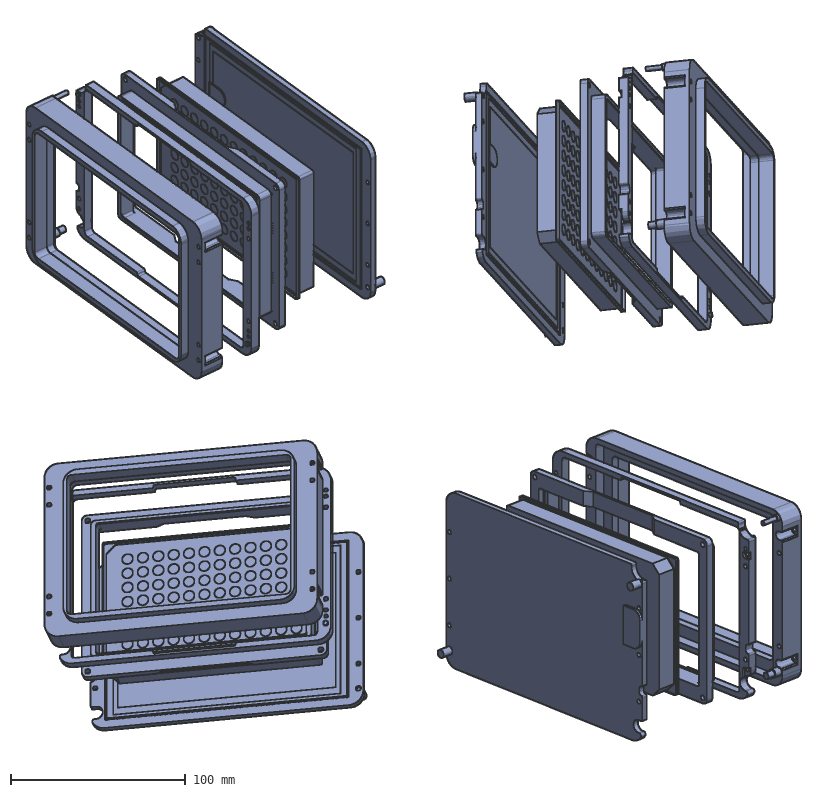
import cadquery as cq

plate_width = 159.7
plate_height = 109.7
plate_corner = 8.2
left_edge = -plate_width / 2
top_edge = plate_height / 2

stack_length = 140.39
housing_front = -stack_length / 2
housing_shoulder = -64.95
housing_back = -49.7
frame_front = -28.2
frame_back = -22.6
tray_front = -9.8
tray_shoulder = -1.4
tray_back = 3.1
skirt_front = 18.2
skirt_back = 20.2
block_back = 32.0
cover_front = 59.5
cover_back = 63.2
cover_peg_tip = stack_length / 2

fastener_x = 77.1
through_z = 29.1
screw_z = 40.0
relief_z = 36.1
peg_z = 44.8
fastener_diameter = 2.6
centre_hole_z = 0.0
peg_places = [(-fastener_x, peg_z), (fastener_x, -peg_z)]

lip_width = 135.4
lip_height = 94.8
front_opening_width = 131.2
front_opening_height = 88.4
rear_opening_width = 130.9
rear_opening_height = 88.1
opening_corner = 3.0
opening_step_y = -61.3
tray_pocket_y = -56.3
channel_radius = 2.6
channel_flare = 0.8
channel_end_y = -62.2
upper_pin_place = (-76.0, 51.0)
upper_pin_shoulder = (4.1, -47.8)
upper_pin_tip = (2.8, -37.8)
lower_pin_place = (-76.6, -44.7)
lower_pin_shoulder = (5.4, -44.7)
lower_pin_tip = (4.1, -39.7)

corner_notch_reach = 4.8
corner_notch_radius = 6.8
pin_slot_radius = 3.9
edge_notch_z = -22.0
edge_notch_height = 5.6
edge_notch_depth = 2.6
edge_notch_corner = 2.0
notch_edge_round = 0.8
pin_hook_round = 1.5

frame_opening_width = 144.4
frame_opening_height = 103.0
frame_opening_corner = 2.6
grip_width = 48.0
grip_depth = 2.0
grip_round = 0.9
frame_peg_diameter = 2.8
frame_peg_length = 1.3
relief_radius = 2.1
relief_depth = 1.7
relief_hole_diameter = 2.2
shoulder_radius = 4.4
shoulder_z = -35.8

tray_flange_width = 143.6
tray_flange_height = 102.6
tray_box_width = 129.2
tray_box_height = 86.8
tray_flange_corner = 3.3
tray_box_corner = 2.8
tray_window_width = 123.4
tray_window_height = 83.8
tray_lip_height = 82.2
tray_lip_thickness = 0.6
tray_window_corner = 1.3
skirt_pocket_width = 130.4
skirt_pocket_y = -0.8
tray_hole_diameter = 3.0
tray_hole_inset = 3.5
tray_dip_floor_width = 48.0
tray_dip_top_width = 58.0
tray_dip_depth = 3.1

block_width = 124.0
block_height = 82.4
block_corner = 1.4
block_chamfer = 5.3
skirt_width = 127.76
skirt_height = 85.48
skirt_corner = 1.4
skirt_rim = 0.5
skirt_recess_depth = 1.6
well_columns = 12
well_rows = 8
well_pitch = 9.0
well_diameter = 6.3
well_mark_depth = 0.1

seal_groove_width = 142.8
seal_groove_height = 99.6
seal_groove_land = 1.0
seal_groove_depth = 1.0
seal_groove_corner = 0.8
panel_width = 133.2
panel_height = 94.0
window_width = skirt_width
window_height = skirt_height
panel_step = 0.1
tab_left = -66.6
tab_right = -52.3
tab_height = 11.2
tab_z = 13.9
tab_thickness = 0.6
peg_diameter = 5.0
socket_diameter = 3.0
socket_depth = 2.0
handle_right = -66.5
handle_bottom = 4.0
handle_top = 28.2
handle_corner = 5.3
handle_thickness = 1.9


def mirrored_both(x, z):
    """The four places that mirror one place across both centre planes."""
    return [(sx * x, sz * z) for sx in (-1, 1) for sz in (-1, 1)]


def profile_at(y):
    """Sketch plane at depth y, with X to the right and Z up; it extrudes towards -Y."""
    return cq.Workplane("XZ", origin=(0, y, 0))


def slab(width, height, y_front, y_back, corner):
    """Rounded rectangular slab centred on the Y axis."""
    block = profile_at(y_back).rect(width, height).extrude(y_back - y_front)
    return block.edges("|Y").fillet(corner)


def box_between(x_range, y_range, z_range):
    """Box that spans three ranges."""
    size = [high - low for low, high in (x_range, y_range, z_range)]
    return cq.Workplane("XY").box(*size, centered=False).translate((x_range[0], y_range[0], z_range[0]))


def cylinders(places, diameter, y_front, y_back):
    """Cylinders along Y at the given (x, z) places."""
    return profile_at(y_back).pushPoints(places).circle(diameter / 2).extrude(y_back - y_front)


def side_slot(x, z, radius, y_front, y_back):
    """Round-ended slot along Y, centred on (x, z) and open past the left edge."""
    outside = left_edge - radius
    end = cylinders([(x, z)], 2 * radius, y_front, y_back)
    return end.union(box_between((outside, x), (y_front, y_back), (z - radius, z + radius)))


def round_tip(plate, x, z, radius):
    """Round the edge along Y that lies close to (x, z)."""
    near = cq.selectors.BoxSelector((x - 1, -stack_length, z - 1), (x + 1, stack_length, z + 1), boundingbox=False)
    return plate.edges("|Y").edges(near).fillet(radius)


def notched_plate(y_front, y_back):
    """Plate with clearance for the two housing pins and a small notch in the left edge."""
    thickness = y_back - y_front
    plate = slab(plate_width, plate_height, y_front, y_back, plate_corner)

    pin_x, pin_z = upper_pin_place
    outside_x = left_edge - plate_corner
    outside_z = top_edge + plate_corner
    notch_right = pin_x + corner_notch_reach
    notch_bottom = pin_z - corner_notch_reach
    corner_notch = box_between((outside_x, notch_right), (y_front, y_back), (notch_bottom, outside_z))
    corner_notch = corner_notch.edges("|Y and >X and <Z").fillet(corner_notch_radius)
    plate = plate.cut(corner_notch)
    plate = round_tip(plate, left_edge, notch_bottom, notch_edge_round)
    plate = round_tip(plate, notch_right, top_edge, notch_edge_round)

    plate = plate.cut(side_slot(*lower_pin_place, pin_slot_radius, y_front, y_back))
    slot_z = lower_pin_place[1]
    plate = round_tip(plate, left_edge, slot_z - pin_slot_radius, pin_hook_round)
    plate = round_tip(plate, left_edge, slot_z + pin_slot_radius, notch_edge_round)

    edge_notch = (
        profile_at(y_back)
        .center(left_edge, edge_notch_z)
        .rect(2 * edge_notch_depth, edge_notch_height)
        .extrude(thickness)
        .edges("|Y")
        .fillet(edge_notch_corner)
    )
    plate = plate.cut(edge_notch)
    for end in (-1, 1):
        plate = round_tip(plate, left_edge, edge_notch_z + end * edge_notch_height / 2, notch_edge_round)
    return plate


def screw_channel(side, z):
    """Channel behind a screw hole, open to the back and to the side, with flared mouth edges."""
    edge = side * plate_width / 2
    inner = side * fastener_x
    depth = housing_back - channel_end_y
    mouth = channel_radius + channel_flare
    channel = cylinders([(inner, z)], 2 * channel_radius, channel_end_y, housing_back)
    flare = (
        profile_at(housing_back)
        .moveTo(inner, z - channel_radius)
        .lineTo(edge - side * channel_flare, z - channel_radius)
        .lineTo(edge, z - mouth)
        .lineTo(edge, z + mouth)
        .lineTo(edge - side * channel_flare, z + channel_radius)
        .lineTo(inner, z + channel_radius)
        .close()
        .extrude(depth)
    )
    return channel.union(flare)


def stepped_pin(place, shoulder, tip):
    """Pin on the housing's back face; shoulder and tip are (diameter, end depth)."""
    pin = cylinders([place], shoulder[0], housing_back, shoulder[1])
    return pin.union(cylinders([place], tip[0], housing_back, tip[1]))


def make_housing():
    body = slab(plate_width, plate_height, housing_shoulder, housing_back, plate_corner)
    body = body.union(slab(lip_width, lip_height, housing_front, housing_shoulder, plate_corner))
    body = body.cut(
        slab(front_opening_width, front_opening_height, housing_front, opening_step_y, opening_corner)
    )
    body = body.cut(slab(rear_opening_width, rear_opening_height, opening_step_y, housing_back, opening_corner))
    body = body.cut(
        slab(frame_opening_width, frame_opening_height, tray_pocket_y, housing_back, frame_opening_corner)
    )
    holes = mirrored_both(fastener_x, through_z) + mirrored_both(fastener_x, screw_z)
    body = body.cut(cylinders(holes, fastener_diameter, housing_front, housing_back))
    for side in (-1, 1):
        for z in (-screw_z, screw_z):
            body = body.cut(screw_channel(side, z))
    body = body.union(stepped_pin(upper_pin_place, upper_pin_shoulder, upper_pin_tip))
    return body.union(stepped_pin(lower_pin_place, lower_pin_shoulder, lower_pin_tip))


def lower_shoulder():
    """Waste that rounds the front layer of the left edge down into the lower pin slot."""
    y_back = frame_back - relief_depth
    slot_z = lower_pin_place[1]
    arc_x = left_edge + shoulder_radius
    waste = box_between((left_edge, arc_x), (frame_front, y_back), (slot_z, shoulder_z))
    return waste.cut(cylinders([(arc_x, shoulder_z)], 2 * shoulder_radius, frame_front, y_back))


def make_frame():
    body = notched_plate(frame_front, frame_back)
    thickness = frame_back - frame_front
    opening = slab(frame_opening_width, frame_opening_height, frame_front, frame_back, frame_opening_corner)
    grip = (
        profile_at(frame_back)
        .rect(grip_width, frame_opening_height + 2 * grip_depth)
        .extrude(thickness)
        .edges("|Y")
        .fillet(grip_round)
    )
    body = body.cut(opening).cut(grip)
    for x, z in mirrored_both(grip_width / 2, frame_opening_height / 2):
        body = round_tip(body, x, z, grip_round)

    holes = mirrored_both(fastener_x, through_z)
    relief_holes = mirrored_both(fastener_x, relief_z)
    relief_holes += [(-fastener_x, screw_z), (fastener_x, screw_z), (fastener_x, -screw_z)]
    body = body.cut(cylinders(holes, fastener_diameter, frame_front, frame_back))
    body = body.cut(cylinders(relief_holes, relief_hole_diameter, frame_front, frame_back))
    for z in (-relief_z, relief_z):
        body = body.cut(side_slot(-fastener_x, z, relief_radius, frame_back - relief_depth, frame_back))
    relief_waste = box_between(
        (left_edge, relief_radius - fastener_x),
        (frame_back - relief_depth, frame_back),
        (lower_pin_place[1], -relief_z),
    )
    body = body.cut(relief_waste).cut(lower_shoulder())
    return body.union(cylinders(peg_places, frame_peg_diameter, frame_front - frame_peg_length, frame_back))


def make_tray():
    body = slab(tray_flange_width, tray_flange_height, tray_shoulder, tray_back, tray_flange_corner)
    body = body.union(slab(tray_box_width, tray_box_height, tray_front, tray_shoulder, tray_box_corner))
    lip_back = tray_front + tray_lip_thickness
    body = body.cut(slab(tray_window_width, tray_lip_height, tray_front, lip_back, tray_window_corner))
    body = body.cut(slab(tray_window_width, tray_window_height, lip_back, tray_back, tray_window_corner))
    body = body.cut(slab(skirt_pocket_width, tray_window_height, skirt_pocket_y, tray_back, skirt_corner))
    hole_x = tray_flange_width / 2 - tray_hole_inset
    hole_z = tray_flange_height / 2 - tray_hole_inset
    holes = mirrored_both(hole_x, hole_z)
    body = body.cut(cylinders(holes, tray_hole_diameter, tray_shoulder, tray_back))
    dip_floor = tray_back - tray_dip_depth
    dip = (
        cq.Workplane("XY")
        .moveTo(-tray_dip_top_width / 2, tray_back)
        .lineTo(-tray_dip_floor_width / 2, dip_floor)
        .lineTo(tray_dip_floor_width / 2, dip_floor)
        .lineTo(tray_dip_top_width / 2, tray_back)
        .close()
        .extrude(tray_flange_height / 2, both=True)
    )
    return body.cut(dip)


skirt_floor = skirt_front + skirt_recess_depth


def block_solid():
    """Block with two chamfered corners on the left and two rounded ones on the right."""
    depth = block_back - skirt_floor
    block = profile_at(block_back).rect(block_width, block_height).extrude(depth)
    block = block.edges("|Y and <X").chamfer(block_chamfer)
    return block.edges("|Y and >X").fillet(block_corner)


def make_well_block():
    marks = (
        profile_at(skirt_floor + well_mark_depth)
        .rarray(well_pitch, well_pitch, well_columns, well_rows)
        .circle(well_diameter / 2)
        .extrude(well_mark_depth)
    )
    return block_solid().cut(marks)


def make_skirt():
    body = slab(skirt_width, skirt_height, skirt_front, skirt_back, skirt_corner)
    recess_width = skirt_width - 2 * skirt_rim
    recess_height = skirt_height - 2 * skirt_rim
    recess_corner = skirt_corner - skirt_rim
    body = body.cut(slab(recess_width, recess_height, skirt_front, skirt_floor, recess_corner))
    return body.cut(block_solid())


def make_cover():
    body = notched_plate(cover_front, cover_back)

    groove_floor = cover_front + seal_groove_depth
    groove = slab(seal_groove_width, seal_groove_height, cover_front, groove_floor, seal_groove_corner)
    land = profile_at(groove_floor).rect(
        seal_groove_width - 2 * seal_groove_land, seal_groove_height - 2 * seal_groove_land
    )
    groove = groove.cut(land.extrude(seal_groove_depth))
    body = body.cut(groove)
    panel_floor = cover_front + panel_step
    window_floor = panel_floor + panel_step
    body = body.cut(profile_at(panel_floor).rect(panel_width, panel_height).extrude(panel_step))
    body = body.cut(profile_at(window_floor).rect(window_width, window_height).extrude(2 * panel_step))

    tab_radius = tab_height / 2
    tab_front = cover_front - tab_thickness
    tab = (
        profile_at(window_floor)
        .moveTo(tab_left, tab_z - tab_radius)
        .lineTo(tab_right - tab_radius, tab_z - tab_radius)
        .threePointArc((tab_right, tab_z), (tab_right - tab_radius, tab_z + tab_radius))
        .lineTo(tab_left, tab_z + tab_radius)
        .close()
        .extrude(window_floor - tab_front)
    )
    body = body.union(tab)

    handle = box_between(
        (left_edge, handle_right), (cover_back, cover_back + handle_thickness), (handle_bottom, handle_top)
    )
    body = body.union(handle.edges("|Y and <X").fillet(handle_corner))

    body = body.union(cylinders(peg_places, peg_diameter, cover_back, cover_peg_tip))
    body = body.cut(cylinders(peg_places, socket_diameter, cover_front, cover_front + socket_depth))
    holes = mirrored_both(fastener_x, through_z)
    holes += [(-fastener_x, centre_hole_z), (fastener_x, centre_hole_z)]
    return body.cut(cylinders(holes, fastener_diameter, cover_front, cover_back))


housing = make_housing()
frame = make_frame()
tray = make_tray()
well_block = make_well_block()
skirt = make_skirt()
cover = make_cover()

result = cq.Compound.makeCompound(
    [housing.val(), frame.val(), tray.val(), well_block.val(), skirt.val(), cover.val()]
)